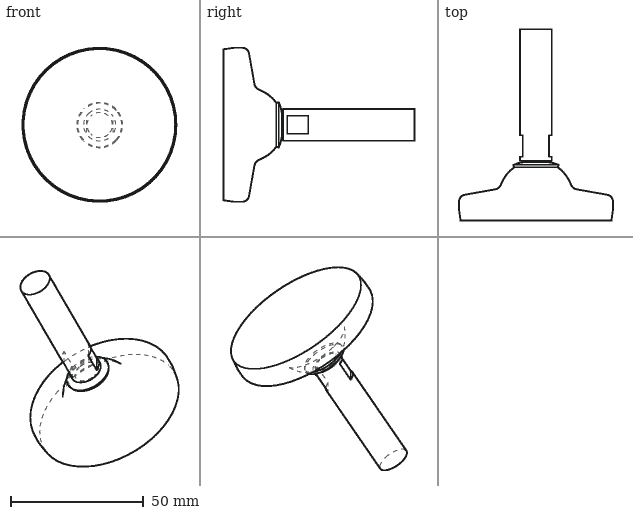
import cadquery as cq
import math

total_height = 72.0

rim_radius = 29.0
floor_radius = 28.45
taper_height = 4.1
shoulder_start = 7.05
shoulder_radius = 2.7
web_slope = math.radians(10)
dome_radius = 14.1
dome_center_height = 8.6
dome_fillet_radius = 2.9
dome_top_height = 20.0
dome_top_radius = math.sqrt(dome_radius**2 - (dome_top_height - dome_center_height) ** 2)

collar_rim_radius = 8.6
collar_rim_height = 20.9
collar_top_height = 21.95
collar_bulge = 0.2
neck_radius = 4.75
neck_top_height = 22.2
shaft_radius = 12.0 / 2
shaft_start = 22.5
flat_start = 24.05
flat_length = 8.0
across_flats = 10.0


def point_on_circle(center, radius, angle):
    """Point at an angle measured from the outward radial direction."""
    return (center[0] + radius * math.cos(angle), center[1] + radius * math.sin(angle))


def revolve_about_y(profile):
    return profile.close().revolve(360, (0, 0, 0), (0, 1, 0))


def make_foot():
    web_normal = math.pi / 2 - web_slope

    shoulder_center = (rim_radius - shoulder_radius, shoulder_start)
    shoulder_middle = point_on_circle(shoulder_center, shoulder_radius, web_normal / 2)
    web_outer = point_on_circle(shoulder_center, shoulder_radius, web_normal)

    web_offset = (
        web_outer[0] * math.cos(web_normal)
        + (web_outer[1] - dome_center_height) * math.sin(web_normal)
    )
    center_distance = dome_radius + dome_fillet_radius
    fillet_direction = web_normal - math.acos((web_offset + dome_fillet_radius) / center_distance)
    dome_center = (0, dome_center_height)
    fillet_center = point_on_circle(dome_center, center_distance, fillet_direction)
    web_inner = point_on_circle(fillet_center, dome_fillet_radius, web_normal + math.pi)
    dome_start = point_on_circle(dome_center, dome_radius, fillet_direction)
    fillet_middle = point_on_circle(
        fillet_center, dome_fillet_radius, (web_normal + fillet_direction) / 2 + math.pi
    )

    dome_top_angle = math.acos(dome_top_radius / dome_radius)
    dome_middle = point_on_circle(dome_center, dome_radius, (fillet_direction + dome_top_angle) / 2)

    profile = (
        cq.Workplane("XY")
        .lineTo(floor_radius, 0)
        .lineTo(rim_radius, taper_height)
        .lineTo(rim_radius, shoulder_start)
        .threePointArc(shoulder_middle, web_outer)
        .lineTo(*web_inner)
        .threePointArc(fillet_middle, dome_start)
        .threePointArc(dome_middle, (dome_top_radius, dome_top_height))
        .lineTo(0, dome_top_height)
    )
    return revolve_about_y(profile)


def make_stud():
    profile = (
        cq.Workplane("XY")
        .moveTo(0, dome_top_height)
        .lineTo(dome_top_radius, dome_top_height)
        .lineTo(collar_rim_radius, collar_rim_height)
        .sagittaArc((neck_radius, collar_top_height), -collar_bulge)
        .lineTo(neck_radius, neck_top_height)
        .lineTo(shaft_radius, shaft_start)
        .lineTo(shaft_radius, total_height)
        .lineTo(0, total_height)
    )
    stud = revolve_about_y(profile)

    cutter_size = 2 * shaft_radius
    for side in (-1, 1):
        cutter = cq.Workplane("XY").box(cutter_size, flat_length, cutter_size).translate(
            (side * (across_flats + cutter_size) / 2, flat_start + flat_length / 2, 0)
        )
        stud = stud.cut(cutter)
    return stud


foot = make_foot()
stud = make_stud()
result = cq.Compound.makeCompound([foot.val(), stud.val()])